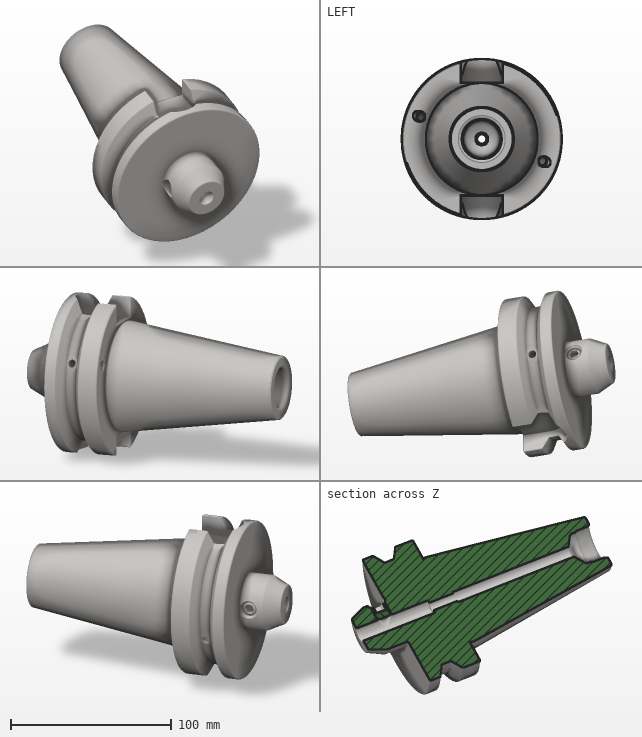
import cadquery as cq
import math

total_length = 164.8

gauge_x = 102.3
gauge_radius = 35.0
taper_ratio = 7 / 24
taper_end_chamfer = 0.7
flange_x = 104.8
neck_straight = 1.3
neck_root_radius = 34.0

flange_diameter = 100.0
flange_end_x = 139.8
groove_center_x = 124.8
groove_root_width = 6.3
groove_root_radius = 42.2
groove_half_angle = 30.0
flange_edge_fillet = 1.0

slot_width = 25.7
slot_floor = 35.5
slot_end_x = 136.1
slot_mouth_chamfer = 0.5

nose_radius = 17.5
nose_shoulder_x = 154.3
nose_tip_radius = 12.4
nose_fillet = 0.8
nose_shoulder_fillet = 1.6

entry_round = 2.1
pilot_radius = 12.5
pilot_end_x = 9.7
step_chamfer = 0.7
step_end_x = 13.7
seat_end_radius = 10.7
drill_half_angle = 59.0
coolant_radius = 4.0
coolant_end_x = 98.9
throat_radius = 3.0
tool_bore_start_x = 115.4
tool_bore_radius = 5.0

channel_angle = 20.0
channel_pitch_radius = 41.7
channel_tilt = 30.0
channel_mouth_radius = 3.3
channel_mouth_depth = 2.6
channel_radius = 2.6
cross_hole_radius = 2.5

screw_x = 145.2
screw_radius = 4.6
screw_top = 15.2
screw_chamfer = 1.3
screw_recess_radius = 5.8
socket_across_flats = 5.5
socket_depth = 5.0

flange_radius = flange_diameter / 2
taper_small_radius = gauge_radius - gauge_x * taper_ratio / 2
groove_run = (flange_radius - groove_root_radius) * math.tan(math.radians(groove_half_angle))
groove_root_start = groove_center_x - groove_root_width / 2
groove_root_end = groove_center_x + groove_root_width / 2
step_end_radius = pilot_radius - step_chamfer
seat_end_x = step_end_x + step_end_radius - seat_end_radius
drill_run = (seat_end_radius - coolant_radius) / math.tan(math.radians(drill_half_angle))


match_tolerance = 0.02


def fillet_circle(body, x, radius, size):
    """Round the circular edge of the given radius that lies in the plane at x."""

    def matches(edge):
        return (
            edge.geomType() == "CIRCLE"
            and abs(edge.Center().x - x) < match_tolerance
            and abs(edge.radius() - radius) < match_tolerance
        )

    circles = [edge for edge in body.edges().vals() if matches(edge)]
    return body.newObject(circles).fillet(size)


def turned_body():
    """Outside of the holder: taper, neck, grooved flange and nose."""
    body = (
        cq.Workplane("XY")
        .moveTo(0, 0)
        .lineTo(0, taper_small_radius - taper_end_chamfer)
        .lineTo(taper_end_chamfer, taper_small_radius + taper_end_chamfer * taper_ratio / 2)
        .lineTo(gauge_x, gauge_radius)
        .lineTo(gauge_x + neck_straight, gauge_radius)
        .lineTo(flange_x, neck_root_radius)
        .lineTo(flange_x, flange_radius)
        .lineTo(groove_root_start - groove_run, flange_radius)
        .lineTo(groove_root_start, groove_root_radius)
        .lineTo(groove_root_end, groove_root_radius)
        .lineTo(groove_root_end + groove_run, flange_radius)
        .lineTo(flange_end_x, flange_radius)
        .lineTo(flange_end_x, nose_radius)
        .lineTo(nose_shoulder_x, nose_radius)
        .lineTo(total_length, nose_tip_radius)
        .lineTo(total_length, 0)
        .close()
        .revolve(360, (0, 0, 0), (1, 0, 0))
    )
    flange_edges = (
        flange_x,
        groove_root_start - groove_run,
        groove_root_end + groove_run,
        flange_end_x,
    )
    for x in flange_edges:
        body = fillet_circle(body, x, flange_radius, flange_edge_fillet)
    body = fillet_circle(body, flange_end_x, nose_radius, nose_fillet)
    body = fillet_circle(body, nose_shoulder_x, nose_radius, nose_shoulder_fillet)
    return fillet_circle(body, total_length, nose_tip_radius, nose_fillet)


def axial_bore():
    """Draw-bolt bore, coolant passage and tool bore as one turned cutter."""
    arc_side = entry_round * math.sqrt(0.5)
    arc_middle = (entry_round - arc_side, pilot_radius + entry_round - arc_side)
    return (
        cq.Workplane("XY")
        .moveTo(0, 0)
        .lineTo(0, pilot_radius + entry_round)
        .threePointArc(arc_middle, (entry_round, pilot_radius))
        .lineTo(pilot_end_x, pilot_radius)
        .lineTo(pilot_end_x + step_chamfer, step_end_radius)
        .lineTo(step_end_x, step_end_radius)
        .lineTo(seat_end_x, seat_end_radius)
        .lineTo(seat_end_x + drill_run, coolant_radius)
        .lineTo(coolant_end_x, coolant_radius)
        .lineTo(coolant_end_x, throat_radius)
        .lineTo(tool_bore_start_x, throat_radius)
        .lineTo(tool_bore_start_x, tool_bore_radius)
        .lineTo(total_length, tool_bore_radius)
        .lineTo(total_length, 0)
        .close()
        .revolve(360, (0, 0, 0), (1, 0, 0))
    )


def drive_slot():
    """Round-ended slot on the +Z side, open towards the taper."""
    round_center_x = slot_end_x - slot_width / 2
    height = flange_radius - slot_floor
    straight = (
        cq.Workplane("XY", origin=(flange_x, 0, slot_floor))
        .rect(2 * (round_center_x - flange_x), slot_width)
        .extrude(height)
    )
    round_end = (
        cq.Workplane("XY", origin=(round_center_x, 0, slot_floor))
        .circle(slot_width / 2)
        .extrude(height)
    )
    return straight.union(round_end)


def chamfer_slot_mouths(body):
    """Chamfer the straight edges that the slots leave on the flange face."""

    def matches(edge):
        return edge.geomType() == "LINE" and all(
            abs(vertex.X - flange_x) < match_tolerance for vertex in edge.Vertices()
        )

    mouth_edges = [edge for edge in body.edges().vals() if matches(edge)]
    return body.newObject(mouth_edges).chamfer(slot_mouth_chamfer)


def coolant_channel():
    """Stepped hole leaning inwards from the flange face, met by a hole from the groove root."""
    tilt = math.radians(channel_tilt)
    mouth = cq.Vector(flange_x, channel_pitch_radius, 0)
    direction = cq.Vector(math.cos(tilt), -math.sin(tilt), 0)
    length = (groove_center_x - flange_x) / math.cos(tilt)
    meeting_radius = channel_pitch_radius - length * math.sin(tilt)
    lead = 2 * channel_mouth_radius
    start = mouth - direction * lead
    wide = cq.Solid.makeCylinder(channel_mouth_radius, lead + channel_mouth_depth, start, direction)
    narrow = cq.Solid.makeCylinder(channel_radius, length, mouth, direction)
    cross = cq.Solid.makeCylinder(
        cross_hole_radius,
        groove_root_radius - meeting_radius,
        cq.Vector(groove_center_x, meeting_radius, 0),
        cq.Vector(0, 1, 0),
    )
    cutter = cq.Workplane(wide).union(cq.Workplane(narrow)).union(cq.Workplane(cross))
    return cutter.rotate((0, 0, 0), (1, 0, 0), channel_angle)


def radial_cylinder(radius, inner, outer):
    """Cylinder on the screw axis between two distances from the spindle axis, towards -Y."""
    start = cq.Workplane("XZ", origin=(screw_x, -inner, 0))
    return start.circle(radius).extrude(outer - inner)


def make_holder():
    body = turned_body().cut(axial_bore())
    for turn in (0, 180):
        body = body.cut(drive_slot().rotate((0, 0, 0), (1, 0, 0), turn))
    body = chamfer_slot_mouths(body)
    for turn in (0, 180):
        body = body.cut(coolant_channel().rotate((0, 0, 0), (1, 0, 0), turn))
    body = body.cut(radial_cylinder(screw_radius, 0, screw_top))
    recess_top = nose_radius + nose_fillet
    recess = radial_cylinder(screw_recess_radius, screw_top, recess_top)
    return body.cut(recess.faces(">Y").chamfer(screw_recess_radius - screw_radius))


def make_clamp_screw():
    """Headless screw whose tip ends at the wall of the tool bore."""
    screw = radial_cylinder(screw_radius, tool_bore_radius, screw_top)
    screw = screw.faces("<Y or >Y").chamfer(screw_chamfer)
    across_corners = socket_across_flats / math.cos(math.radians(30))
    socket = (
        cq.Workplane("XZ", origin=(screw_x, -screw_top + socket_depth, 0))
        .polygon(6, across_corners)
        .extrude(socket_depth)
    )
    return screw.cut(socket)


holder = make_holder()
clamp_screw = make_clamp_screw()

result = cq.Compound.makeCompound([holder.val(), clamp_screw.val()])